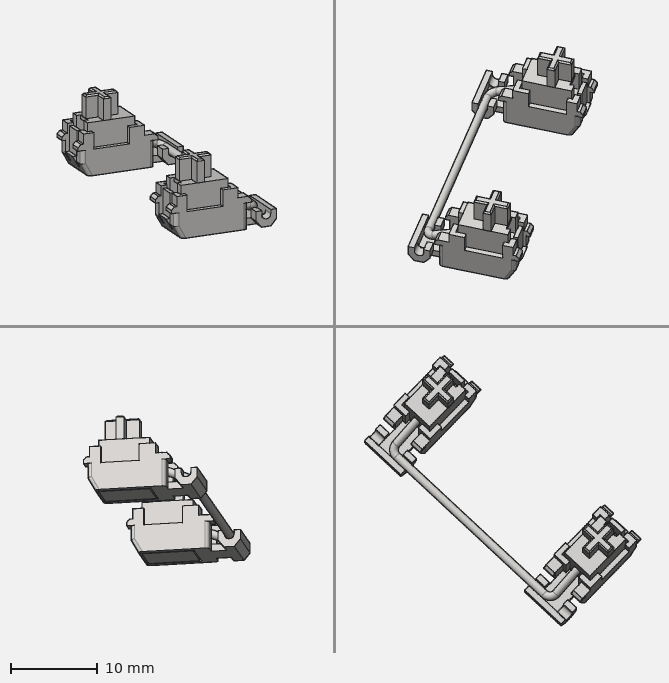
import cadquery as cq
import math


overall_length = 31.3
housing_width = 5.8
center_offset = (overall_length - housing_width) / 2

wire_diameter = 1.0
wire_radius = wire_diameter / 2
wire_bend_radius = 1.0
wire_leg_length = 9.67
wire_tilt = 20.8
wire_axis_y = 12.08
wire_axis_z = 1.5

body_front_y = 0.47
body_rear_y = 9.7
body_top_z = 3.22
slant_foot_y = 1.3
slant_top_z = 1.5
corner_radius = 0.47

post_front_y = 0.72
post_rear_y = 8.48
post_top_z = 5.23
lip_rear_y = 10.2
lip_top_z = 4.0
lip_chamfer = 0.38
side_slot_front_y = 2.0
side_slot_rear_y = 6.57

cavity_width = 4.5
cavity_front_y = 1.45
cavity_rear_y = 7.82
opening_width = 2.95
sill_z = 1.53
sill_front_y = 0.88
window_width = 2.0
tongue_width = window_width
tongue_front_y = post_front_y
tongue_rear_y = 1.25
tongue_ledge_z = 2.0
tongue_top_z = 5.07
arm_top_z = 0.85

clip_front_y = 10.77
clip_rear_y = 13.4
clip_top_z = 2.0
clip_chamfer_y = 0.72
groove_radius = 0.55

stem_width = 4.0
stem_front_y = 1.63
stem_rear_y = 7.65
stem_top_z = 6.2
notch_depth = 0.5
pocket_floor_z = 3.8
pocket_width = tongue_width
pocket_ceiling_z = 5.73
pocket_slope_start_y = 2.63
pocket_slope = 35.0

cross_top_z = 9.0
cross_center_y = 4.13
cross_length = 4.07
cross_bar_x = 0.97
cross_bar_y = 1.05
cross_chamfer = 0.2


def block(width, y_start, y_end, z_start, z_end):
    """Box centred on X = 0 that spans the given Y and Z ranges."""
    return (
        cq.Workplane("XY")
        .box(width, y_end - y_start, z_end - z_start, centered=(True, False, False))
        .translate((0, y_start, z_start))
    )


def side_profile(points, width):
    """Closed outline of (Y, Z) points extruded along X, centred on X = 0."""
    return cq.Workplane("YZ").polyline(points).close().extrude(width / 2, both=True)


def slant_y(z):
    """Y of the slanted lower front face at height z."""
    return slant_foot_y - (slant_foot_y - body_front_y) * z / slant_top_z


def housing_body():
    outline = [
        (slant_foot_y, 0),
        (body_rear_y, 0),
        (body_rear_y, body_top_z),
        (body_front_y, body_top_z),
        (body_front_y, slant_top_z),
    ]
    body = side_profile(outline, housing_width)
    rear_corners = body.faces(">Y").edges("|Z")
    front_corners = body.faces("<Y").edges("|Z")
    slant_corners = body.faces("<X or >X").edges("not (|Y or |Z)")
    return rear_corners.add(front_corners).add(slant_corners).fillet(corner_radius)


def posts_and_lips():
    outline = [
        (0, body_top_z),
        (lip_rear_y, body_top_z),
        (lip_rear_y, lip_top_z - lip_chamfer),
        (lip_rear_y - lip_chamfer, lip_top_z),
        (post_rear_y, lip_top_z),
        (post_rear_y, post_top_z),
        (post_front_y, post_top_z),
        (post_front_y, lip_top_z),
        (lip_chamfer, lip_top_z),
        (0, lip_top_z - lip_chamfer),
    ]
    upper = side_profile(outline, housing_width)
    return upper.cut(block(housing_width, side_slot_front_y, side_slot_rear_y, body_top_z, post_top_z))


def housing_openings():
    cavity = block(cavity_width, cavity_front_y, cavity_rear_y, 0, post_top_z)
    front_gap = block(opening_width, 0, cavity_front_y, sill_z, post_top_z)
    front_recess = block(opening_width, 0, sill_front_y, 0, post_top_z)
    rear_window = block(window_width, cavity_rear_y, post_rear_y, arm_top_z, post_top_z)
    rear_gap = block(opening_width, post_rear_y, lip_rear_y, arm_top_z, post_top_z)
    return cavity.union(front_gap).union(front_recess).union(rear_window).union(rear_gap)


def tongue():
    outline = [
        (slant_foot_y, 0),
        (cavity_front_y, 0),
        (cavity_front_y, sill_z),
        (tongue_rear_y, sill_z),
        (tongue_rear_y, tongue_top_z),
        (tongue_front_y, tongue_top_z),
        (tongue_front_y, tongue_ledge_z),
        (slant_y(tongue_ledge_z), tongue_ledge_z),
    ]
    return side_profile(outline, tongue_width)


def wire_clip():
    outline = [
        (clip_front_y, arm_top_z),
        (clip_front_y + clip_chamfer_y, 0),
        (clip_rear_y - clip_chamfer_y, 0),
        (clip_rear_y, arm_top_z),
        (clip_rear_y, clip_top_z),
        (clip_front_y, clip_top_z),
    ]
    groove_rear_y = wire_axis_y + groove_radius
    groove = (
        cq.Workplane("YZ")
        .center(wire_axis_y, wire_axis_z)
        .circle(groove_radius)
        .extrude(housing_width / 2, both=True)
        .union(block(housing_width, wire_axis_y - groove_radius, groove_rear_y, wire_axis_z, clip_top_z))
    )
    middle_gap = block(opening_width, clip_front_y, groove_rear_y, arm_top_z, clip_top_z)
    arm = block(opening_width, body_rear_y, groove_rear_y, 0, arm_top_z)
    return side_profile(outline, housing_width).cut(groove).cut(middle_gap).union(arm)


def make_housing():
    shell = housing_body().union(posts_and_lips()).cut(housing_openings())
    return shell.union(tongue()).union(wire_clip())


def stem_cross():
    height = cross_top_z - stem_top_z
    base = cq.Workplane("XY").workplane(offset=stem_top_z).center(0, cross_center_y)
    bar_along_x = base.rect(cross_length, cross_bar_x).extrude(height)
    bar_along_y = base.rect(cross_bar_y, cross_length).extrude(height)
    return bar_along_x.union(bar_along_y).faces(">Z").chamfer(cross_chamfer)


def stem_pocket():
    """Pocket around the wire end: notch in the top, flat floor and a ceiling that slopes down to it."""
    notch_back_y = stem_front_y + notch_depth
    slope_length = (pocket_ceiling_z - pocket_floor_z) / math.tan(math.radians(pocket_slope))
    outline = [
        (stem_front_y, pocket_floor_z),
        (pocket_slope_start_y + slope_length, pocket_floor_z),
        (pocket_slope_start_y, pocket_ceiling_z),
        (notch_back_y, pocket_ceiling_z),
        (notch_back_y, stem_top_z),
        (stem_front_y, stem_top_z),
    ]
    return side_profile(outline, pocket_width)


def stem_wire_hole():
    """Round hole that fits the wire leg."""
    tilt = math.radians(wire_tilt)
    leg_start = cq.Vector(0, wire_axis_y, wire_axis_z)
    leg_direction = cq.Vector(0, -math.cos(tilt), math.sin(tilt))
    return cq.Workplane(cq.Solid.makeCylinder(wire_radius, wire_leg_length, leg_start, leg_direction))


def make_stem():
    body = block(stem_width, stem_front_y, stem_rear_y, 0, stem_top_z)
    return body.cut(stem_pocket()).cut(stem_wire_hole()).union(stem_cross())


def make_wire():
    """Straight bar with a bent leg at each end, tilted about the bar's axis."""
    bend = wire_bend_radius
    corner = bend * (1 - math.sqrt(0.5))
    x = center_offset
    path = (
        cq.Workplane("XY")
        .moveTo(-x, -wire_leg_length)
        .lineTo(-x, -bend)
        .threePointArc((corner - x, -corner), (bend - x, 0))
        .lineTo(x - bend, 0)
        .threePointArc((x - corner, -corner), (x, -bend))
        .lineTo(x, -wire_leg_length)
    )
    section = cq.Workplane("XZ", origin=(-x, -wire_leg_length, 0)).circle(wire_radius)
    tilted = section.sweep(path).rotate((0, 0, 0), (1, 0, 0), -wire_tilt)
    return tilted.translate((0, wire_axis_y, wire_axis_z))


housings = []
stems = []
for side in (-1, 1):
    place = (side * center_offset, 0, 0)
    housings.append(make_housing().translate(place).val())
    stems.append(make_stem().translate(place).val())
wire = make_wire()

result = cq.Compound.makeCompound([*housings, *stems, wire.val()])